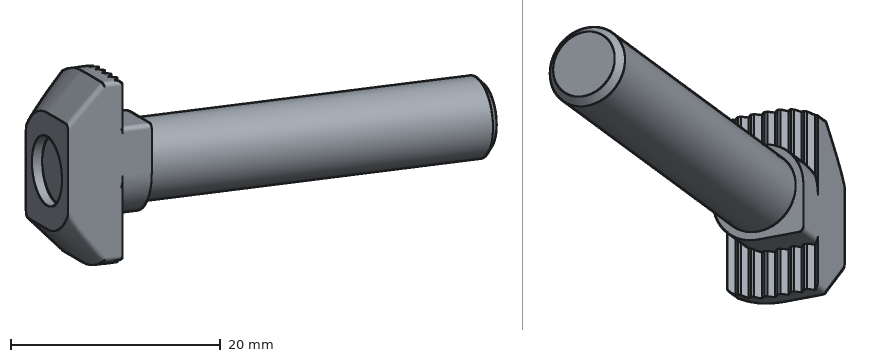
import cadquery as cq

total_length = 45.75

head_width = 9.7
head_height = 19.0
head_thickness = 5.7
slope_depth = 3.7
edge_radius = 0.5

neck_length = 3.05
neck_end = head_thickness + neck_length

groove_pitch = 1.4
groove_depth = 0.55
grooves_per_side = 3

stud_diameter = 8.05
stud_chamfer = 0.75
core_diameter = 6.85
core_chamfer = 0.15
core_recess = 1.0

half_width = head_width / 2
half_height = head_height / 2
position_tolerance = 0.005


def y_cylinder(diameter, start, end):
    """Cylinder on the bolt axis between two Y positions."""
    return cq.Workplane("XZ", origin=(0, start, 0)).circle(diameter / 2).extrude(start - end)


def slope_envelope():
    """Sloped front: conical in the rounded quadrants, flat in the square ones."""
    front_reach = half_height - slope_depth
    half_profile = [
        (0, 0),
        (front_reach, 0),
        (half_height, slope_depth),
        (half_height, head_thickness),
        (0, head_thickness),
    ]
    cone = cq.Workplane("XY").polyline(half_profile).close().revolve(360, (0, 0), (0, 1))
    upper_left = cq.Workplane("XY").box(half_width, head_thickness, half_height, centered=False)
    upper_left = upper_left.translate((-half_width, 0, 0))
    lower_right = upper_left.rotate((0, 0, 0), (0, 1, 0), 180)
    rounded = cone.intersect(upper_left.union(lower_right))

    upper_right = (
        cq.Workplane("YZ")
        .polyline([(y, reach) for reach, y in half_profile])
        .close()
        .extrude(half_width)
    )
    lower_left = upper_right.rotate((0, 0, 0), (0, 1, 0), 180)
    return rounded.union(upper_right).union(lower_left)


def make_bar():
    """Head bar with its end and slope edges rounded along both side faces."""
    bar = slope_envelope()
    rim = []
    for face in bar.faces("<X or >X").vals():
        for edge in face.Edges():
            middle = edge.positionAt(0.5)
            on_front = abs(middle.y) < position_tolerance
            on_back = abs(middle.y - head_thickness) < position_tolerance
            if not on_front and not on_back:
                rim.append(edge)
    return bar.newObject(rim).fillet(edge_radius)


def cut_serrations(bar):
    """V-grooves along Z in the back face of the bar."""
    for index in range(-grooves_per_side, grooves_per_side + 1):
        x = index * groove_pitch
        groove = (
            cq.Workplane("XY", origin=(0, 0, -half_height))
            .moveTo(x - groove_depth, head_thickness)
            .lineTo(x, head_thickness - groove_depth)
            .lineTo(x + groove_depth, head_thickness)
            .close()
            .extrude(head_height)
        )
        bar = bar.cut(groove)
    return bar


def make_neck():
    """Neck rounded in two opposite quadrants, with small fillets on the square corners.

    It starts at the groove bottoms so that it is solid under its footprint.
    """
    start = head_thickness - groove_depth
    neck = y_cylinder(head_width, start, neck_end)
    square = cq.Workplane("XY").box(half_width, neck_end - start, half_width, centered=False)
    square = square.edges(">X and >Z").fillet(edge_radius).translate((0, start, 0))
    return neck.union(square).union(square.rotate((0, 0, 0), (0, 1, 0), 180))


def make_head():
    head = cut_serrations(make_bar()).union(make_neck())
    return head.cut(y_cylinder(core_diameter, 0, neck_end))


def make_stud():
    shank = y_cylinder(stud_diameter, neck_end, total_length).faces(">Y").chamfer(stud_chamfer)
    core = y_cylinder(core_diameter, core_recess, neck_end).faces("<Y").chamfer(core_chamfer)
    return shank.union(core)


head = make_head()
stud = make_stud()
result = cq.Compound.makeCompound([head.val(), stud.val()])